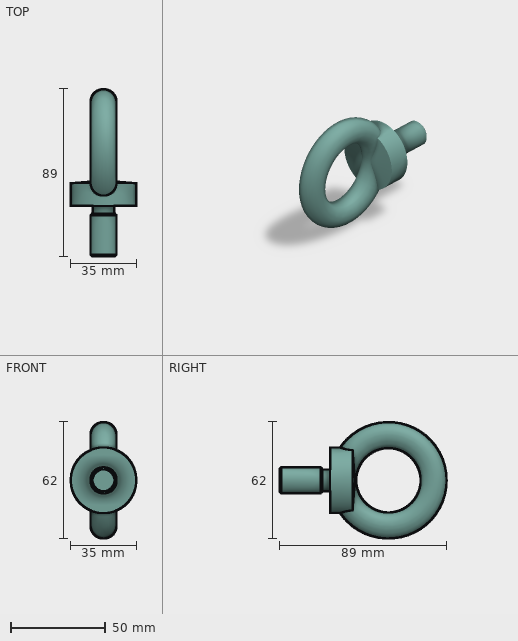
import cadquery as cq

ring_outer_diameter = 62.0
bar_diameter = 14.0
collar_diameter = 35.0
collar_height = 12.0
collar_cone_rise = 1.4
stud_diameter = bar_diameter
neck_diameter = 11.7
neck_length = 4.0
chamfer = (stud_diameter - neck_diameter) / 2
total_length = 89.0

ring_outer_radius = ring_outer_diameter / 2
bar_radius = bar_diameter / 2
ring_mean_radius = ring_outer_radius - bar_radius
collar_radius = collar_diameter / 2
stud_radius = stud_diameter / 2
neck_radius = neck_diameter / 2

ring_centre_y = ring_outer_radius
stud_length = total_length - ring_outer_diameter


def make_ring():
    """Sweep the bar section, placed at the collar end, about the ring's X axis."""
    return (
        cq.Workplane("XY")
        .center(0, ring_centre_y - ring_mean_radius)
        .circle(bar_radius)
        .revolve(360, (0, ring_mean_radius, 0), (1, ring_mean_radius, 0))
    )


def make_collar_and_stud():
    """Revolve the half profile, drawn as (radius, y), about the Y axis.

    The collar top is a shallow cone that rises to its centre.
    """
    return (
        cq.Workplane("XY")
        .moveTo(0, collar_height + collar_cone_rise)
        .lineTo(collar_radius, collar_height)
        .lineTo(collar_radius, 0)
        .lineTo(neck_radius, 0)
        .lineTo(neck_radius, -neck_length)
        .lineTo(stud_radius, -neck_length - chamfer)
        .lineTo(stud_radius, -stud_length + chamfer)
        .lineTo(stud_radius - chamfer, -stud_length)
        .lineTo(0, -stud_length)
        .close()
        .revolve(360, (0, 0, 0), (0, 1, 0))
    )


result = make_collar_and_stud().union(make_ring())